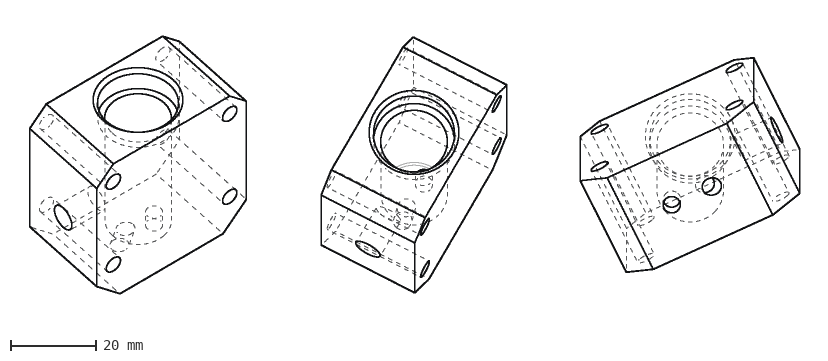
import cadquery as cq
import math

WIDTH_X = 25.0
DEPTH_Y = 45.0
HEIGHT_Z = 45.2
TOP_CORNER = 5.0
BOTTOM_CORNER = 7.0

MOUNT_HOLE_D = 4.3
MOUNT_PITCH_Y = 35.0
MOUNT_PITCH_Z = 28.0
MOUNT_TOP_INSET = 6.0

MOUTH_D = 21.0
SEAT_BORE_D = 19.0
SEAT_DEPTH = 6.0
CHAMBER_D = 15.6
CHAMBER_FLOOR_Z = 4.3
FLOOR_FILLET = 0.5

STRAIGHT_HOLE_D = 4.02
STRAIGHT_HOLE_Y = 4.75
TILTED_HOLE_D = 4.2
TILTED_HOLE_Y = -3.85
TILT_ANGLE = 23.0

PORT_D = 6.5
PORT_Z = 20.2
PORT_DEPTH = 9.95

OVERSHOOT = 2.7


def make_block():
    half_y = DEPTH_Y / 2
    outline = [
        (-half_y + BOTTOM_CORNER, 0),
        (half_y - BOTTOM_CORNER, 0),
        (half_y, BOTTOM_CORNER),
        (half_y, HEIGHT_Z - TOP_CORNER),
        (half_y - TOP_CORNER, HEIGHT_Z),
        (-half_y + TOP_CORNER, HEIGHT_Z),
        (-half_y, HEIGHT_Z - TOP_CORNER),
        (-half_y, BOTTOM_CORNER),
    ]
    return cq.Workplane("YZ").polyline(outline).close().extrude(WIDTH_X / 2, both=True)


def mounting_holes():
    upper_z = HEIGHT_Z - MOUNT_TOP_INSET
    centers = [
        (side * MOUNT_PITCH_Y / 2, z)
        for side in (-1, 1)
        for z in (upper_z, upper_z - MOUNT_PITCH_Z)
    ]
    holes = cq.Workplane("YZ").pushPoints(centers).circle(MOUNT_HOLE_D / 2)
    return holes.extrude(WIDTH_X / 2 + OVERSHOOT, both=True)


def stepped_bore():
    """Revolved cutter: 45 degree mouth, seat, and chamber with a filleted floor."""
    mouth_r = MOUTH_D / 2
    seat_r = SEAT_BORE_D / 2
    chamber_r = CHAMBER_D / 2
    seat_z = HEIGHT_Z - SEAT_DEPTH
    fillet_mid = FLOOR_FILLET * (1 - math.sqrt(0.5))
    profile = (
        cq.Workplane("XZ")
        .moveTo(0, HEIGHT_Z)
        .lineTo(mouth_r, HEIGHT_Z)
        .lineTo(seat_r, HEIGHT_Z - (mouth_r - seat_r))
        .lineTo(seat_r, seat_z)
        .lineTo(chamber_r, seat_z)
        .lineTo(chamber_r, CHAMBER_FLOOR_Z + FLOOR_FILLET)
        .threePointArc(
            (chamber_r - fillet_mid, CHAMBER_FLOOR_Z + fillet_mid),
            (chamber_r - FLOOR_FILLET, CHAMBER_FLOOR_Z),
        )
        .lineTo(0, CHAMBER_FLOOR_Z)
        .close()
    )
    return profile.revolve(360, (0, 0, 0), (0, 1, 0))


def floor_passage(diameter, floor_y, tilt):
    """Hole crossing the chamber floor at floor_y, leaning toward -Y on its way down."""
    angle = math.radians(tilt)
    downward = cq.Vector(0, -math.sin(angle), -math.cos(angle))
    start = cq.Vector(0, floor_y, CHAMBER_FLOOR_Z) - downward * OVERSHOOT
    length = CHAMBER_FLOOR_Z / math.cos(angle) + 2 * OVERSHOOT
    return cq.Workplane(cq.Solid.makeCylinder(diameter / 2, length, start, downward))


def front_port():
    start = cq.Vector(0, -DEPTH_Y / 2, PORT_Z)
    return cq.Workplane(cq.Solid.makeCylinder(PORT_D / 2, PORT_DEPTH, start, cq.Vector(0, 1, 0)))


result = (
    make_block()
    .cut(mounting_holes())
    .cut(stepped_bore())
    .cut(floor_passage(STRAIGHT_HOLE_D, STRAIGHT_HOLE_Y, 0))
    .cut(floor_passage(TILTED_HOLE_D, TILTED_HOLE_Y, TILT_ANGLE))
    .cut(front_port())
)